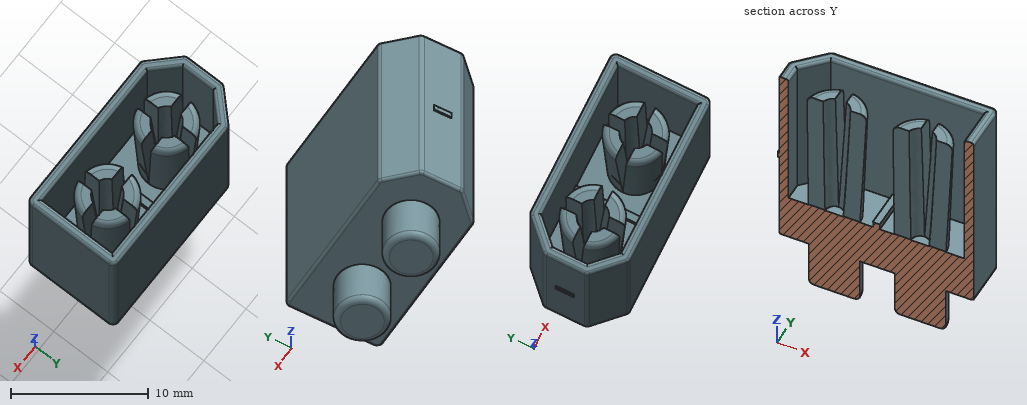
import cadquery as cq
import math

BODY_LENGTH = 15.9
BODY_WIDTH = 8.1
BODY_HEIGHT = 16.0
NOSE_CHAMFER = 2.3
CORNER_RADIUS = 0.5
EDGE_RADIUS = 0.25

WALL = 0.8
POCKET_DEPTH = 12.0
RIB_WIDTH = 0.58
RIB_HEIGHT = 0.5

CONTACT_SPACING = 7.0
CONTACT_SHIFT = 0.05
CONTACT_RECESS = 1.5
CONTACT_TOP_RADIUS = 2.45
CONTACT_ROUNDING = 0.5
BORE_TOP_RADIUS = 1.2
BORE_FLOOR_RADIUS = 0.75
SLOT_WIDTH = 0.9

TAIL_RADIUS = 2.1
TAIL_LENGTH = 4.0
TAIL_ROUNDING = 0.5

MARK_LENGTH = 1.5
MARK_HEIGHT = 0.5
MARK_RELIEF = 0.1

FLOOR_Z = BODY_HEIGHT - POCKET_DEPTH
CONTACT_TOP_Z = BODY_HEIGHT - CONTACT_RECESS
CONTACT_HEIGHT = CONTACT_TOP_Z - FLOOR_Z
CONTACT_XS = (CONTACT_SHIFT - CONTACT_SPACING / 2, CONTACT_SHIFT + CONTACT_SPACING / 2)


def prism(inset, bottom_z, height):
    """Sharp-edged block whose sides all lie the given inset inside the housing outline."""
    chamfer = NOSE_CHAMFER - inset * (2 - math.sqrt(2))
    return (
        cq.Workplane("XY", origin=(0, 0, bottom_z))
        .box(BODY_LENGTH - 2 * inset, BODY_WIDTH - 2 * inset, height, centered=(True, True, False))
        .edges("|Z and <X")
        .chamfer(chamfer)
    )


def housing():
    """Rounded block with a sharp-cornered pocket, whose rim is rounded on both sides."""
    block = prism(0, 0, BODY_HEIGHT).edges("|Z").fillet(CORNER_RADIUS)
    block = block.faces("<Z").edges().fillet(EDGE_RADIUS)
    pocket = prism(WALL, FLOOR_Z, POCKET_DEPTH)
    return block.cut(pocket).faces(">Z").edges().fillet(EDGE_RADIUS)


def cone(bottom_radius, top_radius):
    """Frustum from the pocket floor to the top of a contact."""
    return (
        cq.Workplane("XY", origin=(0, 0, FLOOR_Z))
        .circle(bottom_radius)
        .workplane(offset=CONTACT_HEIGHT)
        .circle(top_radius)
        .loft()
    )


def slot(plane):
    """V-shaped cutter across a contact, full width at the top and closing at the pocket floor."""
    return (
        cq.Workplane(plane)
        .moveTo(0, FLOOR_Z)
        .lineTo(SLOT_WIDTH / 2, CONTACT_TOP_Z)
        .lineTo(-SLOT_WIDTH / 2, CONTACT_TOP_Z)
        .close()
        .extrude(CONTACT_TOP_RADIUS, both=True)
    )


def contact():
    """Hollow contact that narrows downwards, split into four prongs by crossed slots."""
    outside = cone(TAIL_RADIUS, CONTACT_TOP_RADIUS).faces(">Z").edges().fillet(CONTACT_ROUNDING)
    bore = cone(BORE_FLOOR_RADIUS, BORE_TOP_RADIUS)
    return outside.cut(bore).cut(slot("XZ")).cut(slot("YZ"))


def tail():
    """Round solder tail with a rounded lower end."""
    cylinder = cq.Workplane("XY").circle(TAIL_RADIUS).extrude(-TAIL_LENGTH)
    return cylinder.faces("<Z").edges().fillet(TAIL_ROUNDING)


def rib():
    """Low rib across the pocket floor, midway along the housing."""
    return cq.Workplane("XY", origin=(0, 0, FLOOR_Z)).box(
        RIB_WIDTH, BODY_WIDTH - 2 * WALL, RIB_HEIGHT, centered=(True, True, False)
    )


def minus_mark():
    """Bar centred on the nose face, half of its thickness standing proud."""
    return cq.Workplane("XY", origin=(-BODY_LENGTH / 2, 0, BODY_HEIGHT / 2)).box(
        2 * MARK_RELIEF, MARK_LENGTH, MARK_HEIGHT
    )


result = housing().union(rib()).union(minus_mark())
for contact_x in CONTACT_XS:
    result = result.union(contact().translate((contact_x, 0, 0)))
    result = result.union(tail().translate((contact_x, 0, 0)))